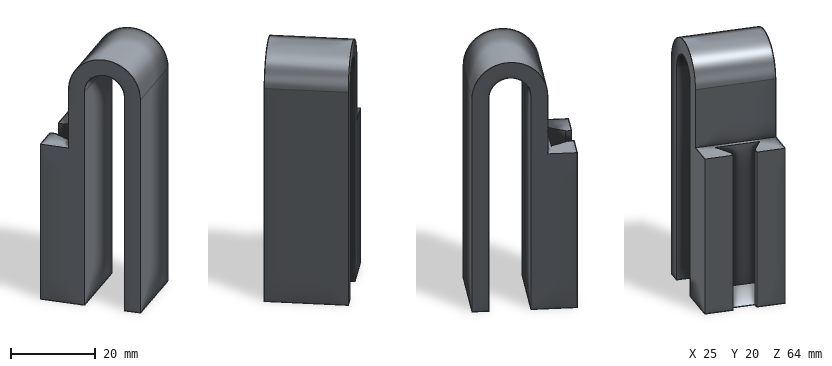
import cadquery as cq

width = 20.0
total_height = 64.0

clip_wall = 4.0
clip_gap = 10.0
inner_radius = clip_gap / 2
outer_radius = inner_radius + clip_wall
arch_height = total_height - outer_radius

block_depth = 7.0
block_height = 40.0
block_front = -outer_radius - block_depth

mouth_width = 5.9
floor_width = 11.0
lip_depth = 1.4
groove_depth = 5.7
ramp_height = 3.7
lip_x = block_front + lip_depth
floor_x = block_front + groove_depth


def make_clip():
    """Two legs joined by a half-round arch, extruded across the width."""
    return (
        cq.Workplane("XZ")
        .moveTo(-outer_radius, 0)
        .lineTo(-outer_radius, arch_height)
        .threePointArc((0, total_height), (outer_radius, arch_height))
        .lineTo(outer_radius, 0)
        .lineTo(inner_radius, 0)
        .lineTo(inner_radius, arch_height)
        .threePointArc((0, arch_height + inner_radius), (-inner_radius, arch_height))
        .lineTo(-inner_radius, 0)
        .close()
        .extrude(width / 2, both=True)
    )


def make_block():
    """Plain block standing against the clip's outer leg."""
    return (
        cq.Workplane("XY")
        .box(block_depth, width, block_height, centered=(False, True, False))
        .translate((block_front, 0, 0))
    )


def make_ramp():
    """Wedge rising from the lip at the bottom edge to the groove floor."""
    return (
        cq.Workplane("XZ")
        .moveTo(lip_x, 0)
        .lineTo(floor_x, 0)
        .lineTo(floor_x, ramp_height)
        .close()
        .extrude(floor_width / 2, both=True)
    )


def make_groove():
    """Vertical dovetail groove volume, less the ramp left at its lower end."""
    groove = (
        cq.Workplane("XY")
        .moveTo(block_front, -mouth_width / 2)
        .lineTo(lip_x, -mouth_width / 2)
        .lineTo(floor_x, -floor_width / 2)
        .lineTo(floor_x, floor_width / 2)
        .lineTo(lip_x, mouth_width / 2)
        .lineTo(block_front, mouth_width / 2)
        .close()
        .extrude(block_height)
    )
    return groove.cut(make_ramp())


result = make_clip().union(make_block().cut(make_groove()))